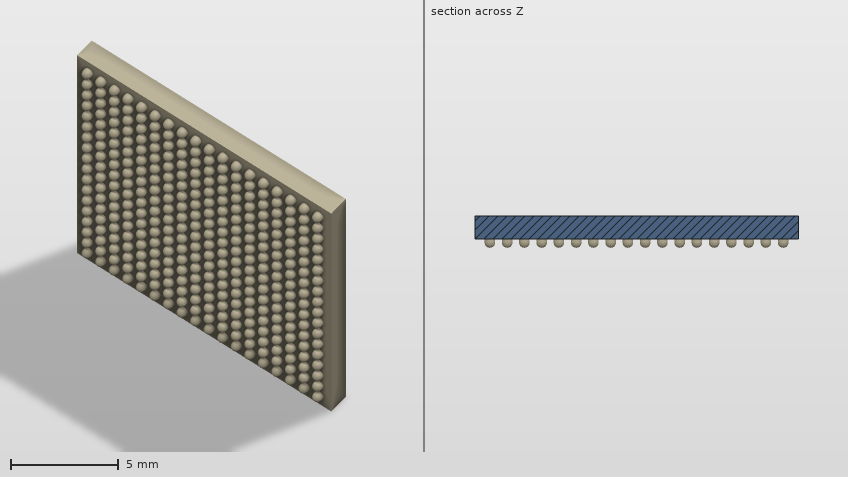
import cadquery as cq

side = 15.0
overall_depth = 1.5
ball_height = 0.4
body_depth = overall_depth - ball_height

balls_per_side = 18
edge_margin = 0.7
ball_pitch = (side - 2 * edge_margin) / (balls_per_side - 1)
ball_diameter = 0.5
ball_radius = ball_diameter / 2
stem_height = ball_height - ball_radius


def make_body():
    """Plate centred on the origin in X and Z, with its ball face at Y = 0."""
    return cq.Workplane("XY").box(side, body_depth, side, centered=(True, False, True))


def make_ball():
    """One ball at the origin: a short round stem with a hemispherical tip towards -Y."""
    tip_offset = ball_radius * 0.5 ** 0.5
    return (
        cq.Workplane("XY")
        .lineTo(ball_radius, 0)
        .lineTo(ball_radius, -stem_height)
        .threePointArc((tip_offset, -stem_height - tip_offset), (0, -ball_height))
        .close()
        .revolve(360, (0, 0), (0, 1))
        .val()
    )


def make_balls():
    """All balls, in rows and columns centred on the plate."""
    ball = make_ball()
    first = edge_margin - side / 2
    balls = []
    for column in range(balls_per_side):
        for row in range(balls_per_side):
            x = first + column * ball_pitch
            z = first + row * ball_pitch
            balls.append(ball.translate(cq.Vector(x, 0, z)))
    return balls


body = make_body().val()
result = cq.Workplane("XY").newObject([body.fuse(*make_balls())])